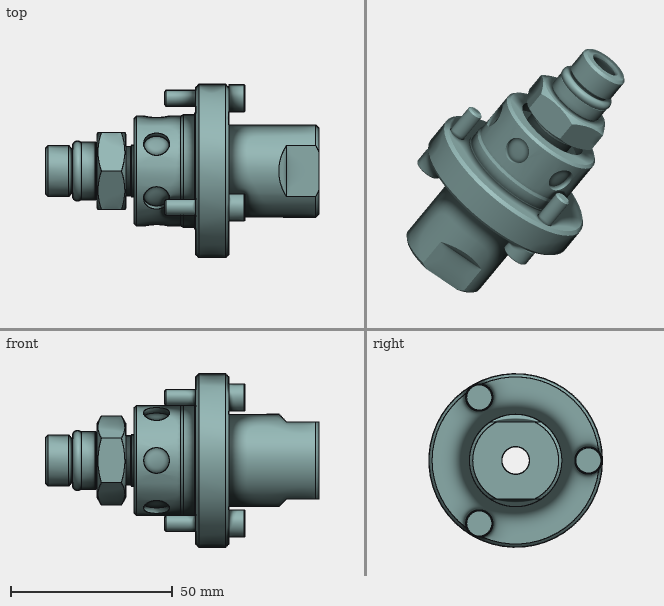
import cadquery as cq
import math


total_length = 84.6
bore_diameter = 8.5
housing_start = 27.3
recess_diameter = 23.4
recess_depth = 3.4
rotor_end = housing_start + recess_depth

spigot_diameter = 15.9
spigot_chamfer = 0.85
spigot_taper_start = 7.2
groove_start = 8.2
groove_diameter = 13.5
bore_lip_height = 0.6
bore_lip_length = 0.85

shoulder_diameter = 18.0
shoulder_start = 11.1
shoulder_end = 15.65
seal_position = 9.9
seal_section_radius = 1.5
seal_outer_diameter = 18.6
relief_diameter = 17.4

hex_start = 15.9
hex_end = 24.9
hex_across_flats = 23.85
hex_face_diameter = 22.75
hex_chamfer_angle = 30.0

neck_diameter = 15.3
neck_end = 26.3
collar_diameter = 16.0

barrel_diameter = 34.1
barrel_chamfer = 0.85
barrel_end = 41.8
pilot_diameter = 34.85
pilot_start = 42.7
rim_diameter = 35.8
rim_start = 46.0

flange_diameter = 53.7
flange_start = 46.45
flange_end = 56.7
flange_chamfer = 1.0

shank_diameter = 28.6
shank_chamfer = 1.0

wrench_across_flats = 23.85
wrench_flat_start = 74.5

pocket_count = 6
pocket_diameter = 7.95
pocket_position = 34.35
pocket_floor_diameter = 30.3

screw_count = 3
screw_circle_radius = 22.5
screw_diameter = 5.0
screw_start = 36.8
screw_tip_chamfer = 0.5
screw_hole_diameter = 5.5
screw_head_diameter = 8.5
screw_head_end = 61.8
screw_head_chamfer = 0.3


def rod(start, end, diameter):
    """Cylinder along X, centred on the axis."""
    return cq.Workplane("YZ", origin=(start, 0, 0)).circle(diameter / 2).extrude(end - start)


def turned(profile):
    """Solid of revolution about X from (x, radius) points; both ends run in to the axis."""
    points = [(profile[0][0], 0), *profile, (profile[-1][0], 0)]
    return cq.Workplane("XY").polyline(points).close().revolve(360, (0, 0, 0), (1, 0, 0))


def hexagon():
    """Hexagon with two corners on Z, its corners turned down to a cone at both ends."""
    corner_diameter = hex_across_flats / math.cos(math.radians(30))
    prism = (
        cq.Workplane("YZ", origin=(hex_start, 0, 0))
        .polygon(6, corner_diameter)
        .extrude(hex_end - hex_start)
        .rotate((0, 0, 0), (1, 0, 0), 90)
    )
    face_radius = hex_face_diameter / 2
    corner_radius = corner_diameter / 2
    cone_length = (corner_radius - face_radius) * math.tan(math.radians(hex_chamfer_angle))
    envelope = turned([
        (hex_start, face_radius),
        (hex_start + cone_length, corner_radius),
        (hex_end - cone_length, corner_radius),
        (hex_end, face_radius),
    ])
    return prism.intersect(envelope)


def seal_ring():
    """O-ring seated in the groove in front of the shoulder."""
    centre_radius = seal_outer_diameter / 2 - seal_section_radius
    return (
        cq.Workplane("XY")
        .center(seal_position, centre_radius)
        .circle(seal_section_radius)
        .revolve(360, (0, -centre_radius, 0), (1, -centre_radius, 0))
    )


def rotor_body():
    spigot_radius = spigot_diameter / 2
    shoulder_radius = shoulder_diameter / 2
    relief_radius = relief_diameter / 2
    groove_radius = groove_diameter / 2
    spigot = turned([
        (0, spigot_radius - spigot_chamfer),
        (spigot_chamfer, spigot_radius),
        (spigot_taper_start, spigot_radius),
        (groove_start, groove_radius),
        (shoulder_start, groove_radius),
        (shoulder_start, shoulder_radius),
        (shoulder_end - (shoulder_radius - relief_radius), shoulder_radius),
        (shoulder_end, relief_radius),
        (hex_start, relief_radius),
    ])
    neck = rod(hex_end, neck_end, neck_diameter)
    collar_radius = collar_diameter / 2
    collar_chamfer = (collar_diameter - neck_diameter) / 2
    collar = turned([
        (neck_end, collar_radius - collar_chamfer),
        (neck_end + collar_chamfer, collar_radius),
        (rotor_end, collar_radius),
    ])
    bore = rod(0, rotor_end, bore_diameter).union(turned([
        (0, bore_diameter / 2 + bore_lip_height),
        (bore_lip_length, bore_diameter / 2),
    ]))
    return spigot.union(seal_ring()).union(hexagon()).union(neck).union(collar).cut(bore)


def housing_blank():
    barrel_radius = barrel_diameter / 2
    pilot_radius = pilot_diameter / 2
    rim_radius = rim_diameter / 2
    flange_radius = flange_diameter / 2
    shank_radius = shank_diameter / 2
    return turned([
        (housing_start, barrel_radius - barrel_chamfer),
        (housing_start + barrel_chamfer, barrel_radius),
        (barrel_end, barrel_radius),
        (pilot_start, pilot_radius),
        (rim_start, pilot_radius),
        (rim_start, rim_radius),
        (flange_start, rim_radius),
        (flange_start, flange_radius - flange_chamfer),
        (flange_start + flange_chamfer, flange_radius),
        (flange_end - flange_chamfer, flange_radius),
        (flange_end, flange_radius - flange_chamfer),
        (flange_end, shank_radius),
        (total_length - shank_chamfer, shank_radius),
        (total_length, shank_radius - shank_chamfer),
    ])


def pockets():
    """Round blind pockets around the barrel, their floors concentric with it."""
    drill = (
        cq.Workplane("XZ", origin=(pocket_position, 0, 0))
        .circle(pocket_diameter / 2)
        .extrude(barrel_diameter)
    )
    floor = rod(housing_start, barrel_end, pocket_floor_diameter)
    cutter = drill.cut(floor)
    for index in range(1, pocket_count):
        angle = index * 360 / pocket_count
        cutter = cutter.union(drill.cut(floor).rotate((0, 0, 0), (1, 0, 0), angle))
    return cutter


def wrench_flat_cutter():
    """Material above the upper wrench flat, with a 45 degree run-out."""
    flat_height = wrench_across_flats / 2
    run_out = shank_diameter / 2 - flat_height
    return (
        cq.Workplane("XZ")
        .moveTo(wrench_flat_start, flat_height)
        .lineTo(total_length, flat_height)
        .lineTo(total_length, flat_height + run_out)
        .lineTo(wrench_flat_start - run_out, flat_height + run_out)
        .close()
        .extrude(shank_diameter / 2, both=True)
    )


def screw():
    shaft = rod(screw_start, flange_end, screw_diameter).faces("<X").chamfer(screw_tip_chamfer)
    head = rod(flange_end, screw_head_end, screw_head_diameter).faces(">X").chamfer(screw_head_chamfer)
    return shaft.union(head)


def housing_body():
    recess = rod(housing_start, rotor_end, recess_diameter)
    body = housing_blank().cut(recess).cut(pockets())
    flat = wrench_flat_cutter()
    body = body.cut(flat).cut(flat.mirror("XY"))
    for index in range(screw_count):
        angle = math.radians(index * 360 / screw_count)
        place = (0, screw_circle_radius * math.cos(angle), screw_circle_radius * math.sin(angle))
        hole = rod(flange_start, flange_end, screw_hole_diameter).translate(place)
        body = body.cut(hole).union(screw().translate(place))
    return body.cut(rod(rotor_end, total_length, bore_diameter))


rotor = rotor_body()
housing = housing_body()

result = cq.Compound.makeCompound([rotor.val(), housing.val()])